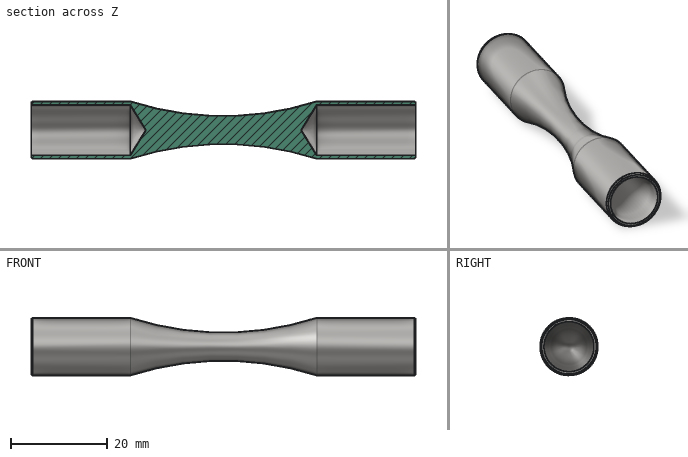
import cadquery as cq

length = 80.0
outer_radius = 6.0
waist_radius = 3.0
waist_length = 38.7
edge_chamfer = 0.3

bore_radius = 5.2
bore_depth = 20.6
cone_depth = 3.2

half_length = length / 2
half_waist = waist_length / 2


def turned_body():
    """Two cylindrical ends joined by a waist with a circular-arc profile."""
    profile = (
        cq.Workplane("XY")
        .moveTo(-half_length, 0)
        .lineTo(-half_length, outer_radius - edge_chamfer)
        .lineTo(-half_length + edge_chamfer, outer_radius)
        .lineTo(-half_waist, outer_radius)
        .threePointArc((0, waist_radius), (half_waist, outer_radius))
        .lineTo(half_length - edge_chamfer, outer_radius)
        .lineTo(half_length, outer_radius - edge_chamfer)
        .lineTo(half_length, 0)
        .close()
    )
    return profile.revolve(360, (0, 0, 0), (1, 0, 0))


def end_bore(side):
    """Bore entering from the end on the given side: -1 for -X, +1 for +X."""
    mouth = side * half_length
    shoulder = side * (half_length - bore_depth)
    tip = side * (half_length - bore_depth - cone_depth)
    profile = (
        cq.Workplane("XY")
        .moveTo(mouth, 0)
        .lineTo(mouth, bore_radius)
        .lineTo(shoulder, bore_radius)
        .lineTo(tip, 0)
        .close()
    )
    return profile.revolve(360, (0, 0, 0), (1, 0, 0))


result = turned_body()
for side in (-1, 1):
    result = result.cut(end_bore(side))